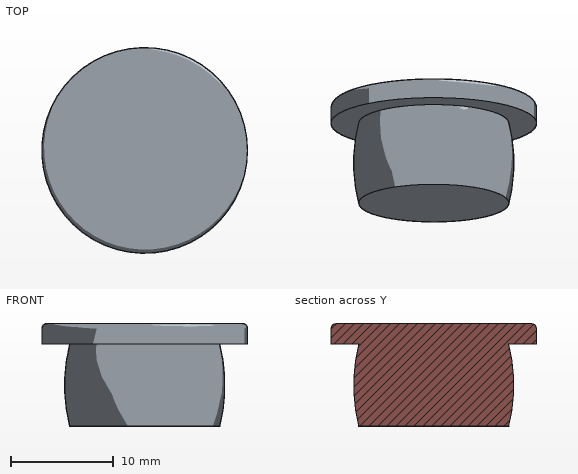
import cadquery as cq

cap_diameter = 20.0
cap_thickness = 2.0
cap_edge_radius = 0.5
total_height = 10.0
stem_end_diameter = 14.6
stem_middle_diameter = 15.6

stem_height = total_height - cap_thickness


def make_stem():
    """Solid stem whose side bulges in an arc between two equal ends."""
    end_radius = stem_end_diameter / 2
    middle_radius = stem_middle_diameter / 2
    profile = (
        cq.Workplane("XZ")
        .lineTo(end_radius, 0)
        .threePointArc((middle_radius, stem_height / 2), (end_radius, stem_height))
        .lineTo(0, stem_height)
        .close()
    )
    return profile.revolve(360, (0, 0, 0), (0, 1, 0))


def make_cap():
    """Disc on top of the stem with a rounded upper rim."""
    disc = (
        cq.Workplane("XY")
        .workplane(offset=stem_height)
        .circle(cap_diameter / 2)
        .extrude(cap_thickness)
    )
    return disc.faces(">Z").edges().fillet(cap_edge_radius)


result = make_stem().union(make_cap())